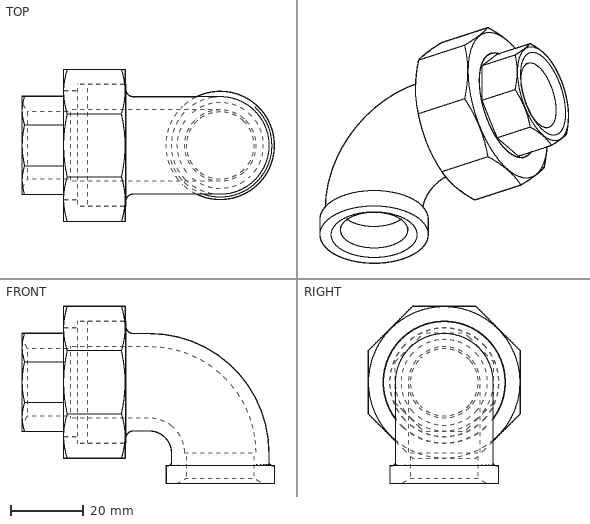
import cadquery as cq
import math

total_length = 69.7
chamfer_slope = math.tan(math.radians(30))
side_count = 8
envelope_ratio = 1.2

tail_flats = 27.2
tail_face_diameter = 27.0
tail_collar_diameter = 30.0
tail_end_x = 18.1
flange_start_x = 15.3
thread_diameter = 18.6
thread_mouth_diameter = 23.8
tail_thread_end_x = 13.45

nut_flats = 42.0
nut_face_diameter = 41.8
nut_start_x = 11.4
nut_end_x = 28.5
nut_lip_bore = 30.2
nut_main_bore = 33.8

pipe_diameter = 27.0
pipe_bore = 19.7
head_diameter = 33.5
head_end_x = 28.7
head_fillet = 1.95
bend_start_x = 35.2
outlet_diameter = 30.0
outlet_height = 5.0
outlet_fillet = 0.8
outlet_axis_x = total_length - outlet_diameter / 2
bend_radius = outlet_axis_x - bend_start_x
overall_height = 49.0
outlet_end_z = nut_flats / 2 - overall_height
outlet_top_z = outlet_end_z + outlet_height


def cylinder_x(start, end, diameter):
    """Cylinder along the X axis."""
    return cq.Workplane("YZ", origin=(start, 0, 0)).circle(diameter / 2).extrude(end - start)


def cylinder_z(start, end, diameter):
    """Vertical cylinder on the outlet axis."""
    return cq.Workplane("XY", origin=(outlet_axis_x, 0, start)).circle(diameter / 2).extrude(end - start)


def octagon_bar(start, end, flats):
    """Octagonal bar along X, with flats facing Y and Z."""
    corner_diameter = flats / math.cos(math.pi / side_count)
    return (
        cq.Workplane("YZ", origin=(start, 0, 0))
        .transformed(rotate=(0, 0, 180 / side_count))
        .polygon(side_count, corner_diameter)
        .extrude(end - start)
    )


def corner_cone(start, end, face_diameter, both_ends):
    """Turned envelope that bevels the corners of an octagonal bar."""
    face_radius = face_diameter / 2
    outer_radius = face_radius * envelope_ratio
    bevel = (outer_radius - face_radius) * chamfer_slope
    points = [(start, 0), (start, face_radius), (start + bevel, outer_radius)]
    if both_ends:
        points += [(end - bevel, outer_radius), (end, face_radius), (end, 0)]
    else:
        points += [(end, outer_radius), (end, 0)]
    return cq.Workplane("XY").polyline(points).close().revolve(360, (0, 0, 0), (1, 0, 0))


def thread_mouth():
    """Conical lead-in, opening towards -X with its wide end at the origin."""
    mouth_radius = thread_mouth_diameter / 2
    depth = (mouth_radius - thread_diameter / 2) * chamfer_slope
    return cq.Workplane("XY").add(
        cq.Solid.makeCone(
            mouth_radius, thread_diameter / 2, depth, cq.Vector(0, 0, 0), cq.Vector(1, 0, 0)
        )
    )


def make_tail():
    """Octagonal end with a round collar and a flange held behind the nut lip."""
    octagon = octagon_bar(0, nut_start_x, tail_flats)
    body = octagon.intersect(corner_cone(0, nut_start_x, tail_face_diameter, False))
    body = body.union(cylinder_x(nut_start_x, tail_end_x, tail_collar_diameter))
    body = body.union(cylinder_x(flange_start_x, tail_end_x, head_diameter))
    body = body.cut(cylinder_x(0, tail_thread_end_x, thread_diameter))
    body = body.cut(cylinder_x(tail_thread_end_x, tail_end_x, pipe_bore))
    return body.cut(thread_mouth())


def make_nut():
    """Octagonal nut, bevelled at both ends, with an inner lip at its -X end."""
    body = octagon_bar(nut_start_x, nut_end_x, nut_flats)
    body = body.intersect(corner_cone(nut_start_x, nut_end_x, nut_face_diameter, True))
    body = body.cut(cylinder_x(nut_start_x, flange_start_x, nut_lip_bore))
    return body.cut(cylinder_x(flange_start_x, nut_end_x, nut_main_bore))


def bend(diameter):
    """Quarter torus from the nut axis down to the outlet axis."""
    return (
        cq.Workplane("YZ", origin=(bend_start_x, 0, 0))
        .circle(diameter / 2)
        .revolve(90, (-0.7, -bend_radius, 0), (0.7, -bend_radius, 0))
    )


def fillet_ring(radius):
    """Concave ring around the pipe, wide end at x = 0 and running towards +X."""
    pipe_radius = pipe_diameter / 2
    arc_offset = radius * (1 - math.sqrt(0.5))
    return (
        cq.Workplane("XY")
        .moveTo(0, pipe_bore / 2)
        .lineTo(0, pipe_radius + radius)
        .threePointArc((arc_offset, pipe_radius + arc_offset), (radius, pipe_radius))
        .lineTo(radius, pipe_bore / 2)
        .close()
        .revolve(360, (0, 0, 0), (1, 0, 0))
    )


def to_outlet(shape, height):
    """Turn a shape from +X to +Z and place it on the outlet axis."""
    return shape.rotate((0, 0, 0), (0, 1, 0), -90).translate((outlet_axis_x, 0, height))


def make_elbow():
    """Head inside the nut, quarter bend and banded outlet with a threaded bore."""
    body = cylinder_x(tail_end_x, head_end_x, head_diameter)
    body = body.union(cylinder_x(head_end_x, bend_start_x, pipe_diameter))
    body = body.union(fillet_ring(head_fillet).translate((head_end_x, 0, 0)))
    body = body.union(bend(pipe_diameter))
    body = body.union(cylinder_z(outlet_top_z, -bend_radius, pipe_diameter))
    body = body.union(cylinder_z(outlet_end_z, outlet_top_z, outlet_diameter))
    body = body.union(to_outlet(fillet_ring(outlet_fillet), outlet_top_z))

    body = body.cut(cylinder_x(tail_end_x, bend_start_x, pipe_bore))
    body = body.cut(bend(pipe_bore))
    body = body.cut(cylinder_z(outlet_end_z, -bend_radius, thread_diameter))
    return body.cut(to_outlet(thread_mouth(), outlet_end_z))


tail = make_tail().solids()
nut = make_nut().solids()
elbow = make_elbow().solids()
result = cq.Compound.makeCompound([tail.val(), nut.val(), elbow.val()])